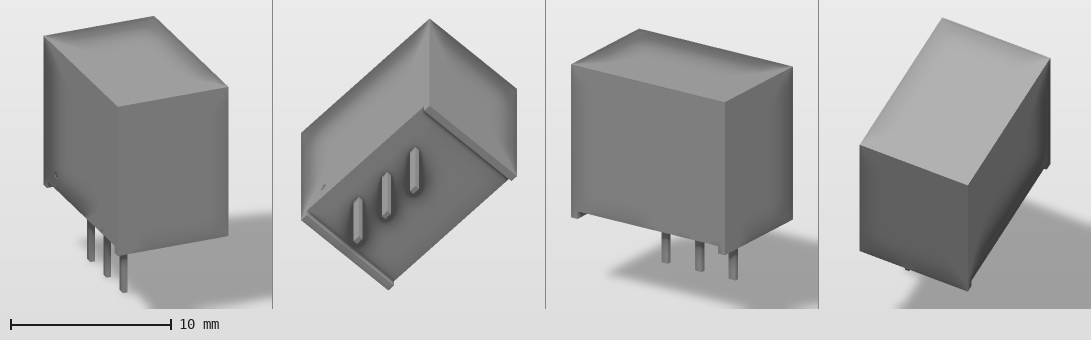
import cadquery as cq

case_width = 11.6
case_depth = 7.5
case_height = 10.2

foot_width = 0.5
foot_height = 0.5

pin_count = 3
pin_pitch = 2.54
pin_width = 0.5
pin_thickness = 0.3
pin_reach = 4.1
pin_front_offset = 1.8

mark_diameter = 0.45
mark_depth = 0.05
mark_x = -3.8
mark_z = 1.5

front_y = -case_depth / 2


def make_case():
    block = cq.Workplane("XY").box(case_width, case_depth, case_height, centered=(True, True, False))
    channel_width = case_width - 2 * foot_width
    channel = cq.Workplane("XY").box(channel_width, case_depth, foot_height, centered=(True, True, False))
    return block.cut(channel)


def make_pin(x):
    length = pin_reach + foot_height
    return (
        cq.Workplane("XY")
        .box(pin_width, pin_thickness, length, centered=(True, True, False))
        .translate((x, front_y + pin_front_offset, -pin_reach))
    )


def make_mark():
    return (
        cq.Workplane("XZ", origin=(mark_x, front_y, mark_z))
        .circle(mark_diameter / 2)
        .extrude(-mark_depth)
    )


result = make_case().cut(make_mark())
for index in range(pin_count):
    pin_x = (index - (pin_count - 1) / 2) * pin_pitch
    result = result.union(make_pin(pin_x))